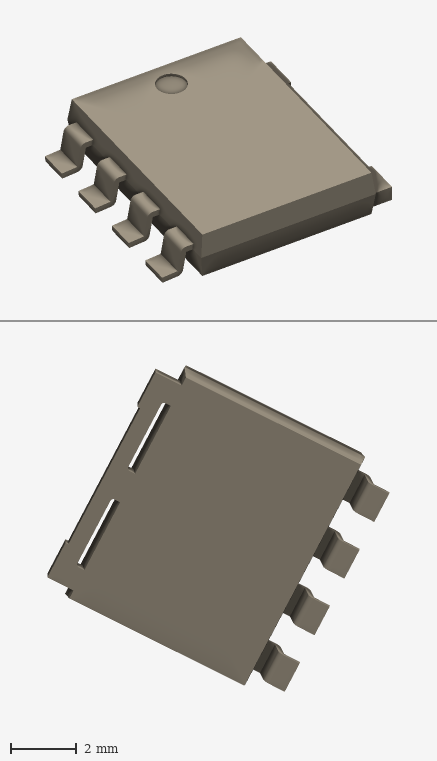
import cadquery as cq
import math

body_width = 8.0
body_depth = 6.205
half_height = 0.8
body_inset = 0.1
front_y = -body_depth / 2
back_y = body_depth / 2

lead_count = 4
lead_pitch = 2.0
lead_width = 1.005
lead_thickness = 0.2
lead_reach = 1.09
shoulder_length = 0.235
lead_drop = 0.87
lead_root = 0.24
leg_angle = math.radians(10)
foot_angle = math.radians(4)

tab_width = 7.24
tab_thickness = 0.5
tab_reach = 0.8
notch_width = 4.81
notch_depth = 0.1
window_width = 2.4
window_gap = 1.005
window_setback = 0.615
window_corner_radius = 0.1

mark_diameter = 1.005
mark_depth = 0.1


def make_body():
    def tapered_half(direction):
        return (
            cq.Workplane("XY")
            .rect(body_width, body_depth)
            .workplane(offset=direction * half_height)
            .rect(body_width - 2 * body_inset, body_depth - 2 * body_inset)
            .loft(ruled=True)
        )

    return tapered_half(1).union(tapered_half(-1))


def make_tab():
    tab_back = back_y + tab_reach
    tab_front = back_y - 2 * body_inset
    tab_bottom = cq.Workplane("XY", origin=(0, 0, -half_height))

    def block(width, y_min, y_max, x=0):
        return (
            tab_bottom.center(x, (y_min + y_max) / 2)
            .rect(width, y_max - y_min)
            .extrude(tab_thickness)
        )

    tab = block(tab_width, tab_front, tab_back)
    tab = tab.cut(block(notch_width, tab_back - notch_depth, tab_back))
    for side in (-1, 1):
        window_x = side * (window_gap + window_width) / 2
        window = block(window_width, tab_front, tab_back - window_setback, window_x)
        tab = tab.cut(window.edges("|Z and >Y").fillet(window_corner_radius))
    return tab


def make_lead(x):
    """One constant-thickness lead; both bends have a sharp inside corner and a round outside."""

    def offset(point, distance, angle):
        return (point[0] + distance * math.cos(angle), point[1] + distance * math.sin(angle))

    leg_down = leg_angle - math.pi / 2
    foot_up = math.pi / 2 - foot_angle
    upper_corner = (shoulder_length, 0)
    leg_top = offset(upper_corner, lead_thickness, leg_angle)
    tip_top = (lead_reach, lead_thickness * math.cos(foot_angle) - lead_drop)

    foot_slope = math.tan(foot_angle)
    height_to_foot = leg_top[1] - tip_top[1] - (tip_top[0] - leg_top[0]) * foot_slope
    leg_length = height_to_foot / (math.cos(leg_angle) - math.sin(leg_angle) * foot_slope)
    lower_corner = offset(leg_top, leg_length, leg_down)

    upper_mid_angle = (math.pi / 2 + leg_angle) / 2
    lower_mid_angle = (leg_angle + foot_up) / 2
    profile = (
        cq.Workplane("YZ", origin=(x - lead_width / 2, 0, 0))
        .moveTo(-lead_root, 0)
        .lineTo(-lead_root, lead_thickness)
        .lineTo(shoulder_length, lead_thickness)
        .threePointArc(offset(upper_corner, lead_thickness, upper_mid_angle), leg_top)
        .lineTo(*lower_corner)
        .lineTo(*tip_top)
        .lineTo(*offset(tip_top, -lead_thickness, foot_up))
        .lineTo(*offset(lower_corner, -lead_thickness, foot_up))
        .threePointArc(
            offset(lower_corner, -lead_thickness, lower_mid_angle),
            offset(lower_corner, -lead_thickness, leg_angle),
        )
        .lineTo(*upper_corner)
        .close()
    )
    return profile.extrude(lead_width).mirror("XZ").translate((0, front_y, 0))


first_lead_x = -lead_pitch * (lead_count - 1) / 2

result = make_body().union(make_tab())
for index in range(lead_count):
    result = result.union(make_lead(first_lead_x + index * lead_pitch))

mark = (
    cq.Workplane("XY", origin=(first_lead_x, 0, half_height - mark_depth))
    .circle(mark_diameter / 2)
    .extrude(mark_depth)
)
result = result.cut(mark)